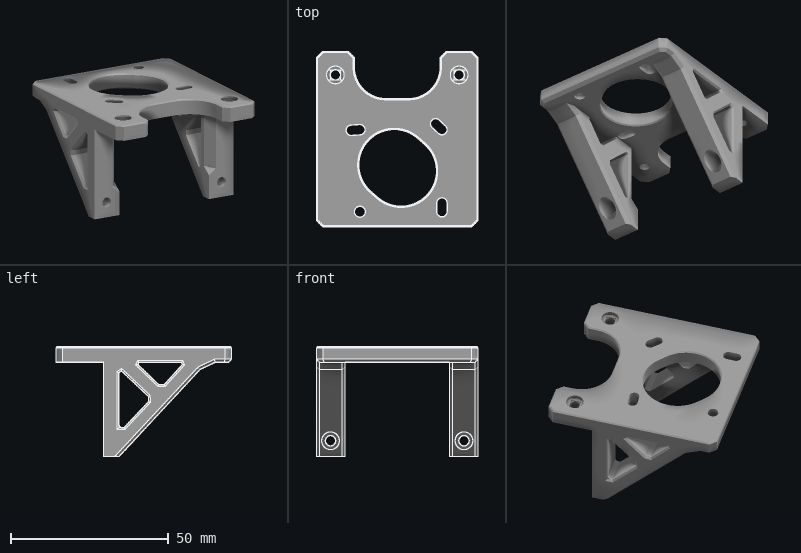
import cadquery as cq
import math

PLATE_WIDTH = 51.2
PLATE_LENGTH = 55.65
PLATE_THICKNESS = 5.0
CORNER_CHAMFER = 2.0
TOP_CHAMFER = 0.4
LOWER_CHAMFER = 1.0

EAR_LENGTH = 15.0
BAY_WIDTH = 27.2
BAY_RADIUS = 10.0

TOTAL_HEIGHT = 34.84
LEG_WIDTH = 9.1
FOOT_LENGTH = 5.0
RAMP_START_Y = 5.2
RAMP_END_Y = 10.0
RAMP_DROP = 2.3

SCREW_DIAMETER = 3.2
EAR_HEAD_DIAMETER = 5.6
LEG_HEAD_DIAMETER = 5.6
EAR_SCREW_SPACING = 39.2
EAR_SCREW_FROM_REAR = 7.5
EAR_HEAD_DEPTH = 1.0
BRIDGE_STEP = 0.25
LEG_SCREW_SPACING = 42.3
LEG_SCREW_FROM_FOOT = 5.0
LEG_SCREW_GRIP = 4.0

MOTOR_HOLE_SPACING = 26.0
PIVOT_DIAMETER = 3.4
PIVOT_X = -11.83
PIVOT_Y = 4.8
SLOT_TRAVEL = 2.75
SLOT_POSITIONS = ((1, 0, 90), (1, 1, 137), (0, 1, 184))
BODY_SWING_ANGLE = 139
BODY_TRAVEL = 2.9
BODY_DIAMETER = 22.4
BODY_RIM_CHAMFER = 0.4

WINDOW_CHAMFER = 0.6
WINDOW_CORNER_FILL = 0.7
UPPER_WINDOW_TOP = WINDOW_CHAMFER - PLATE_THICKNESS
UPPER_WINDOW = [
    (29.7, UPPER_WINDOW_TOP),
    (15.5, UPPER_WINDOW_TOP),
    (14.9, -5.8),
    (21.1, -12.65),
    (23.3, -12.65),
    (30.4, -5.8),
]
LOWER_WINDOW_REAR = 36.3
LOWER_WINDOW_BOTTOM = -26.25
LOWER_WINDOW = [
    (LOWER_WINDOW_REAR, LOWER_WINDOW_BOTTOM),
    (LOWER_WINDOW_REAR, -7.9),
    (34.8, -7.0),
    (25.8, -15.5),
    (25.7, -17.65),
    (33.8, LOWER_WINDOW_BOTTOM),
]

RELIEF_DEPTH = 3.2
RELIEF_WIDTH = 2.6
RELIEF_END_Z = -26.9
RELIEF_END_SLOPE = 0.7

HALF_WIDTH = PLATE_WIDTH / 2
LEG_REAR_Y = PLATE_LENGTH - EAR_LENGTH
LEG_INNER_X = HALF_WIDTH - LEG_WIDTH


def mirrored(body):
    """The body together with its mirror image across X = 0."""
    return body.union(body.mirror("YZ"))


def make_plate():
    plate = (
        cq.Workplane("XY")
        .rect(PLATE_WIDTH, PLATE_LENGTH)
        .extrude(-PLATE_THICKNESS)
        .translate((0, PLATE_LENGTH / 2, 0))
    )
    bay_depth = 2 * EAR_LENGTH
    bay = (
        cq.Workplane("XY")
        .rect(BAY_WIDTH, bay_depth)
        .extrude(-PLATE_THICKNESS)
        .edges("|Z and <Y")
        .fillet(BAY_RADIUS)
        .translate((0, PLATE_LENGTH, 0))
    )
    plate = plate.cut(bay)
    plate = plate.edges("|Z and (<Y or >Y)").chamfer(CORNER_CHAMFER)
    plate = plate.faces(">Z").edges().chamfer(TOP_CHAMFER)
    plate = plate.cut(motor_body_opening())
    rims = cq.selectors.BoxSelector(*motor_body_bounds(), boundingbox=True)
    return plate.edges(rims).edges("not |Z").chamfer(BODY_RIM_CHAMFER)


def swing_slot(middle, travel, angle, diameter):
    """Through slot for a round that travels along the angle, in degrees."""
    return (
        cq.Workplane("XY")
        .center(*middle)
        .slot2D(travel + diameter, diameter, angle)
        .extrude(-PLATE_THICKNESS)
    )


def motor_point(column, row):
    """Position in the motor bolt square; (0, 0) is the pivot screw."""
    return (PIVOT_X + column * MOTOR_HOLE_SPACING, PIVOT_Y + row * MOTOR_HOLE_SPACING)


def along(start, angle, distance):
    """Point at a distance from the start, in the direction of the angle."""
    turn = math.radians(angle)
    return (start[0] + distance * math.cos(turn), start[1] + distance * math.sin(turn))


def motor_body_opening():
    middle = along(motor_point(0.5, 0.5), BODY_SWING_ANGLE, SLOT_TRAVEL / 2)
    return swing_slot(middle, BODY_TRAVEL, BODY_SWING_ANGLE, BODY_DIAMETER)


def motor_body_bounds():
    """Opposite corners of a box that holds the whole motor body opening."""
    centre_x, centre_y = motor_point(0.5, 0.5)
    reach = BODY_DIAMETER / 2 + BODY_TRAVEL
    low = (centre_x - reach, centre_y - reach, -2 * PLATE_THICKNESS)
    high = (centre_x + reach, centre_y + reach, PLATE_THICKNESS)
    return (low, high)


def motor_screw_holes():
    holes = (
        cq.Workplane("XY")
        .center(*motor_point(0, 0))
        .circle(PIVOT_DIAMETER / 2)
        .extrude(-PLATE_THICKNESS)
    )
    for column, row, angle in SLOT_POSITIONS:
        middle = along(motor_point(column, row), angle, SLOT_TRAVEL / 2)
        holes = holes.union(swing_slot(middle, SLOT_TRAVEL, angle, SCREW_DIAMETER))
    return holes


def ear_screw_hole():
    """Counterbored hole whose floor steps down through a slot and a square."""
    head = cq.Workplane("XY").circle(EAR_HEAD_DIAMETER / 2).extrude(-EAR_HEAD_DEPTH)
    slot_bottom = EAR_HEAD_DEPTH + BRIDGE_STEP
    slot = (
        cq.Workplane("XY")
        .circle(EAR_HEAD_DIAMETER / 2)
        .extrude(-slot_bottom)
        .intersect(cq.Workplane("XY").rect(EAR_HEAD_DIAMETER, SCREW_DIAMETER).extrude(-slot_bottom))
    )
    square = cq.Workplane("XY").rect(SCREW_DIAMETER, SCREW_DIAMETER).extrude(-slot_bottom - BRIDGE_STEP)
    bore = cq.Workplane("XY").circle(SCREW_DIAMETER / 2).extrude(-PLATE_THICKNESS)
    hole = head.union(slot).union(square).union(bore)
    return hole.translate((EAR_SCREW_SPACING / 2, PLATE_LENGTH - EAR_SCREW_FROM_REAR, 0))


def make_leg():
    """Right leg, with its inner front edges chamfered."""
    ramp_end_z = -PLATE_THICKNESS - RAMP_DROP
    outline = [
        (RAMP_START_Y, -PLATE_THICKNESS),
        (RAMP_END_Y, ramp_end_z),
        (LEG_REAR_Y - FOOT_LENGTH, -TOTAL_HEIGHT),
        (LEG_REAR_Y, -TOTAL_HEIGHT),
        (LEG_REAR_Y, -PLATE_THICKNESS),
    ]
    leg = cq.Workplane("YZ", origin=(LEG_INNER_X, 0, 0)).polyline(outline).close().extrude(LEG_WIDTH)
    return leg.faces("<X").edges("not(|Y or |Z)").chamfer(LOWER_CHAMFER)


def window_flare(corners, face_x, depth):
    """Chamfer cutter that narrows a window from a leg face inwards."""
    return (
        cq.Workplane("YZ", origin=(face_x, 0, 0))
        .polyline(corners)
        .close()
        .extrude(depth, taper=45)
    )


def window_bore(corners):
    return (
        cq.Workplane("YZ", origin=(LEG_INNER_X, 0, 0))
        .polyline(corners)
        .close()
        .offset2D(-WINDOW_CHAMFER, "intersection")
        .extrude(LEG_WIDTH)
    )


def leg_relief():
    """Bevel of the inner rear edge, ending in a sloped face above the foot."""
    corner = (LEG_INNER_X, LEG_REAR_Y)
    prism = (
        cq.Workplane("XY", origin=(0, 0, -TOTAL_HEIGHT))
        .polyline([corner, (LEG_INNER_X, LEG_REAR_Y - RELIEF_DEPTH), (LEG_INNER_X + RELIEF_WIDTH, LEG_REAR_Y)])
        .close()
        .extrude(TOTAL_HEIGHT - PLATE_THICKNESS)
    )
    end_plane = cq.Plane(
        origin=(LEG_INNER_X, LEG_REAR_Y, RELIEF_END_Z),
        xDir=(1, 1, 0),
        normal=(-RELIEF_END_SLOPE, RELIEF_END_SLOPE, 1),
    )
    reach = 4 * TOTAL_HEIGHT
    return prism.intersect(cq.Workplane(end_plane).rect(reach, reach).extrude(reach))


def leg_screw_hole():
    """Screw hole along Y with a head bore opening through the sloped front."""
    centre = cq.Workplane(
        "XZ",
        origin=(LEG_SCREW_SPACING / 2, LEG_REAR_Y, -TOTAL_HEIGHT + LEG_SCREW_FROM_FOOT),
    )
    bore = centre.circle(SCREW_DIAMETER / 2).extrude(LEG_REAR_Y)
    head = centre.workplane(offset=LEG_SCREW_GRIP).circle(LEG_HEAD_DIAMETER / 2).extrude(LEG_REAR_Y)
    return bore.union(head)


def chamfer_lower_outline(body):
    """Bevel the plate's lower front edges and the legs' outer front edges."""
    tolerance = 0.01
    plate_front = cq.selectors.BoxSelector(
        (-PLATE_WIDTH, -tolerance, -PLATE_THICKNESS - tolerance),
        (PLATE_WIDTH, CORNER_CHAMFER + tolerance, -PLATE_THICKNESS + tolerance),
        boundingbox=True,
    )
    plate_sides = cq.selectors.BoxSelector(
        (-PLATE_WIDTH, CORNER_CHAMFER - tolerance, -PLATE_THICKNESS - tolerance),
        (PLATE_WIDTH, RAMP_START_Y + tolerance, -PLATE_THICKNESS + tolerance),
        boundingbox=True,
    )
    edges = body.edges(plate_front)
    for side in ("<X", ">X"):
        outer_face = body.faces(side)
        edges = edges.add(outer_face.edges("not(|Y or |Z)"))
        edges = edges.add(outer_face.edges("|Y").edges(plate_sides))
    return edges.chamfer(LOWER_CHAMFER)


def lower_window_bore():
    """Lower window bore, with its rear bottom corner bevelled."""
    corner_point = (HALF_WIDTH, LOWER_WINDOW_REAR, LOWER_WINDOW_BOTTOM)
    corner_edge = cq.selectors.NearestToPointSelector(corner_point)
    return window_bore(LOWER_WINDOW).edges("|X").edges(corner_edge).chamfer(WINDOW_CORNER_FILL)


leg = make_leg().cut(leg_relief())
result = make_plate().union(mirrored(leg))
result = chamfer_lower_outline(result)
result = result.cut(mirrored(window_bore(UPPER_WINDOW)))
result = result.cut(mirrored(lower_window_bore()))
for window in (UPPER_WINDOW, LOWER_WINDOW):
    result = result.cut(mirrored(window_flare(window, HALF_WIDTH, -WINDOW_CHAMFER)))
result = result.cut(motor_screw_holes())
result = result.cut(mirrored(ear_screw_hole()))
result = result.cut(mirrored(leg_screw_hole()))
result = cq.Workplane(result.solids().val())